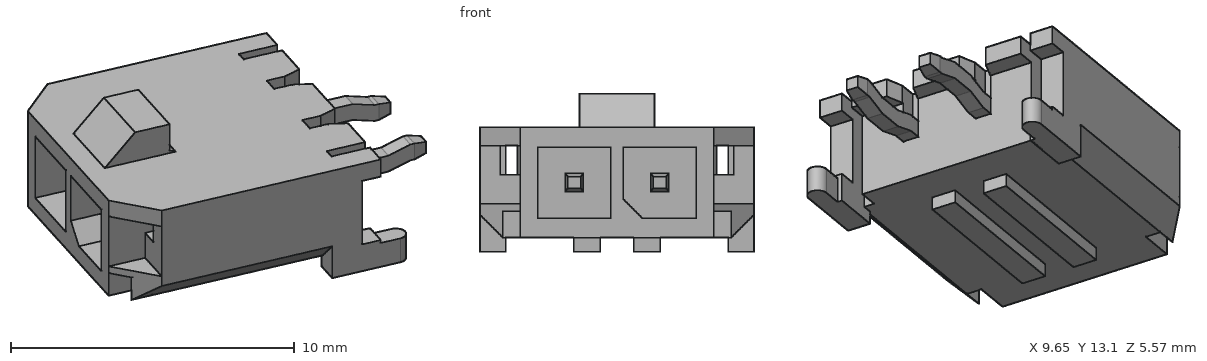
import cadquery as cq


WIDTH = 9.65
HALF_WIDTH = WIDTH / 2
BOTTOM = 0.5
TOP = 4.4
WALL_BACK = 9.18
SEAT_BACK = 9.9
PLATE_UNDERSIDE = 3.69

CORNER = 1.41
NOSE_HALF = HALF_WIDTH - CORNER
EDGE_CHAMFER = 0.81
CORNER_POCKET_BOTTOM = 1.7
CORNER_POCKET_TOP = 3.74
WINDOW_OUTER = 4.11
WINDOW_BOTTOM = 2.72
NOTCH_TOP = 1.43

LATCH_WIDTH = 2.64
LATCH_TOP = 5.57
LATCH_RAMP_FRONT = 0.81
LATCH_BACK = 3.32
LATCH_FOOT_LENGTH = 0.24
LATCH_FOOT_HEIGHT = 0.1

LEG_INNER = 3.91
FOOT_FRONT = 8.02
LEG_TOP = 1.1
PEG_WIDTH = 0.73
PEG_BACK = 11.01
PEG_TOP = 0.98
RAIL_INNER = 0.59
RAIL_WIDTH = 0.94
RAIL_FRONT = 1.7
RAIL_BACK = 7.69

SLOT_INNER = 3.5
SLOT_FRONT = 8.41

PITCH = 3.01
CAVITY_WIDTH = 2.56
CAVITY_BOTTOM = 1.18
CAVITY_TOP = 3.69
CAVITY_DEPTH = 7.2
KEY_CHAMFER = 0.68

PIN_WIDTH = 0.63
PIN_HEIGHT = 0.65
PIN_Z = 2.45
PIN_FRONT = 1.96
PIN_BACK = 13.08
PIN_TAPER = 0.5
PIN_TIP_WIDTH = 0.46
CONTACT_TIP_HEIGHT = 0.4
TAIL_TIP_HEIGHT = 0.46
BEND_START = 9.68
BEND_END = 12.43
BEND_RAMP = 0.85
BEND_HEIGHT = 0.25

PIN_SLOT_FRONT = 8.53
FLARE_FRONT = 9.23
FLARE_WIDTH = 1.1

SIDES = (-1, 1)


def box(x0, x1, y0, y1, z0, z1):
    """Box between two X, two Y and two Z values, with X in either order."""
    return (
        cq.Workplane("XY")
        .box(abs(x1 - x0), y1 - y0, z1 - z0, centered=False)
        .translate((min(x0, x1), y0, z0))
    )


def side_prism(points, width):
    """Extrude a (Y, Z) outline over a width centred on X = 0."""
    return cq.Workplane("YZ").polyline(points).close().extrude(width / 2, both=True)


def make_block():
    """Block with a top plate that overhangs the rear wall, and chamfered front corners."""
    block = side_prism(
        [
            (0, BOTTOM),
            (WALL_BACK, BOTTOM),
            (WALL_BACK, PLATE_UNDERSIDE),
            (SEAT_BACK, PLATE_UNDERSIDE),
            (SEAT_BACK, TOP),
            (0, TOP),
        ],
        WIDTH,
    )
    return block.edges("|Z and <Y").chamfer(CORNER)


def make_latch():
    """Ramped latch with a small sloped foot at its back."""
    return side_prism(
        [
            (LATCH_RAMP_FRONT, TOP),
            (LATCH_RAMP_FRONT + LATCH_TOP - TOP, LATCH_TOP),
            (LATCH_BACK, LATCH_TOP),
            (LATCH_BACK, TOP + LATCH_FOOT_HEIGHT),
            (LATCH_BACK + LATCH_FOOT_LENGTH, TOP),
        ],
        LATCH_WIDTH,
    )


def edge_chamfer_cutter(side):
    """Triangular bar that bevels one lower side edge up to the foot."""
    outer = side * HALF_WIDTH
    return (
        cq.Workplane("XZ")
        .polyline([
            (outer, BOTTOM),
            (outer, BOTTOM + EDGE_CHAMFER),
            (outer - side * EDGE_CHAMFER, BOTTOM),
        ])
        .close()
        .extrude(-FOOT_FRONT)
    )


def front_corner_cutters(side):
    """Pocket, window and lower notch at one front corner."""
    nose = side * NOSE_HALF
    pocket = box(nose, side * HALF_WIDTH, 0, CORNER, CORNER_POCKET_BOTTOM, CORNER_POCKET_TOP)
    window = box(nose, side * WINDOW_OUTER, 0, SLOT_FRONT, WINDOW_BOTTOM, CORNER_POCKET_TOP)
    notch = box(nose, side * (HALF_WIDTH - EDGE_CHAMFER), 0, CORNER, BOTTOM, NOTCH_TOP)
    return [pocket, window, notch]


def leg_slot_cutter(side):
    """Full-height slot between one leg and the block."""
    return box(side * SLOT_INNER, side * LEG_INNER, SLOT_FRONT, SEAT_BACK, BOTTOM, TOP)


def make_foot(side):
    """Foot below one leg, with a heel that reaches back to the board seat."""
    inner = side * LEG_INNER
    outer = side * HALF_WIDTH
    foot = box(inner, outer, FOOT_FRONT, SEAT_BACK, 0, BOTTOM)
    heel = box(inner, outer, WALL_BACK, SEAT_BACK, BOTTOM, LEG_TOP)
    return foot.union(heel)


def make_peg(side):
    """Round-ended board peg that starts inside the leg."""
    radius = PEG_WIDTH / 2
    inner = side * (HALF_WIDTH - PEG_WIDTH)
    outer = side * HALF_WIDTH
    straight_end = PEG_BACK - radius
    return (
        cq.Workplane("XY")
        .moveTo(inner, WALL_BACK)
        .lineTo(inner, straight_end)
        .threePointArc(((inner + outer) / 2, PEG_BACK), (outer, straight_end))
        .lineTo(outer, WALL_BACK)
        .close()
        .extrude(PEG_TOP)
    )


def make_rail(side):
    """Support rail under the block."""
    inner = side * RAIL_INNER
    outer = side * (RAIL_INNER + RAIL_WIDTH)
    return box(inner, outer, RAIL_FRONT, RAIL_BACK, 0, BOTTOM)


def cavity_cutter(side):
    """Contact cavity; the one on the +X side is keyed at its lower inner corner."""
    center = side * PITCH / 2
    half = CAVITY_WIDTH / 2
    cavity = box(center - half, center + half, 0, CAVITY_DEPTH, CAVITY_BOTTOM, CAVITY_TOP)
    if side > 0:
        cavity = cavity.edges("|Y and <X and <Z").chamfer(KEY_CHAMFER)
    return cavity


def pin_opening_cutters(side):
    """Pin hole through the rear wall, slot above it, and flared mouth in the top plate."""
    center = side * PITCH / 2
    half = PIN_WIDTH / 2
    flare_half = FLARE_WIDTH / 2
    pin_bottom = PIN_Z - PIN_HEIGHT / 2
    pin_top = PIN_Z + PIN_HEIGHT / 2
    hole = box(center - half, center + half, CAVITY_DEPTH, WALL_BACK, pin_bottom, pin_top)
    slot = box(center - half, center + half, PIN_SLOT_FRONT, SEAT_BACK, pin_bottom, TOP)
    flare = (
        cq.Workplane("XY", origin=(center, 0, PLATE_UNDERSIDE))
        .polyline([
            (-half, FLARE_FRONT),
            (half, FLARE_FRONT),
            (flare_half, SEAT_BACK),
            (-flare_half, SEAT_BACK),
        ])
        .close()
        .extrude(TOP - PLATE_UNDERSIDE)
    )
    return [hole, slot, flare]


def make_housing():
    """Complete housing with both sides of every mirrored feature."""
    housing = make_block().union(make_latch())
    for side in SIDES:
        housing = housing.cut(edge_chamfer_cutter(side)).cut(leg_slot_cutter(side))
        for cutter in front_corner_cutters(side) + pin_opening_cutters(side):
            housing = housing.cut(cutter)
        housing = housing.cut(cavity_cutter(side))
        housing = housing.union(make_foot(side)).union(make_peg(side)).union(make_rail(side))
    return housing


def pin_tip(y_full, y_tip, tip_height):
    """Taper from the full pin section at y_full to the small end face at y_tip."""
    return (
        cq.Workplane("XZ", origin=(0, y_full, PIN_Z))
        .rect(PIN_WIDTH, PIN_HEIGHT)
        .workplane(offset=y_full - y_tip)
        .rect(PIN_TIP_WIDTH, tip_height)
        .loft(ruled=True)
    )


def make_pin(side):
    """Rectangular pin with tapered ends; the -X tail kinks upward and the +X tail downward."""
    front = PIN_FRONT + PIN_TAPER
    back = PIN_BACK - PIN_TAPER
    kink = -side * BEND_HEIGHT
    center_line = [
        (front, PIN_Z),
        (BEND_START, PIN_Z),
        (BEND_START + BEND_RAMP, PIN_Z + kink),
        (BEND_END - BEND_RAMP, PIN_Z + kink),
        (BEND_END, PIN_Z),
        (back, PIN_Z),
    ]
    half_height = PIN_HEIGHT / 2
    upper = [(y, z + half_height) for y, z in center_line]
    lower = [(y, z - half_height) for y, z in reversed(center_line)]
    pin = side_prism(upper + lower, PIN_WIDTH)
    pin = pin.union(pin_tip(front, PIN_FRONT, CONTACT_TIP_HEIGHT))
    pin = pin.union(pin_tip(back, PIN_BACK, TAIL_TIP_HEIGHT))
    return pin.translate((side * PITCH / 2, 0, 0))


housing = make_housing()
pins = [make_pin(side) for side in SIDES]

result = cq.Compound.makeCompound([housing.val(), *[pin.val() for pin in pins]])